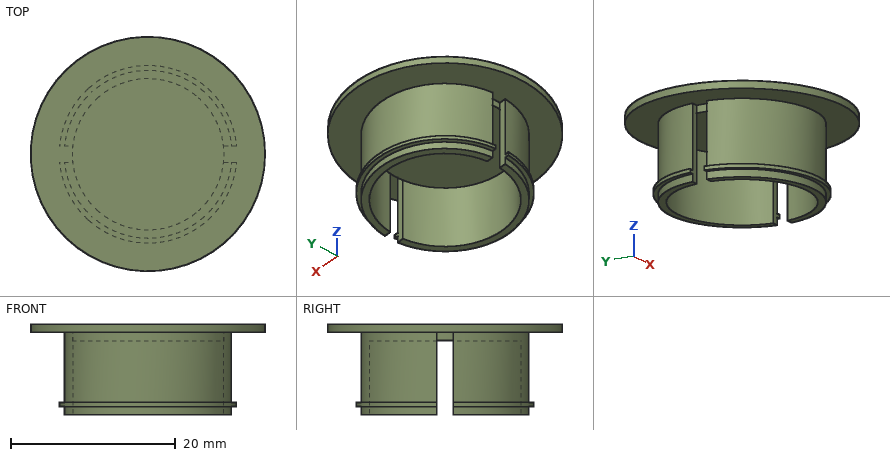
import cadquery as cq

flange_diameter = 28.5
flange_thickness = 1.0
total_height = 11.0

sleeve_diameter = 20.4
wall_thickness = 1.0
floor_thickness = 1.0

ring_projection = 0.6
ring_height = 0.5
ring_offset = 1.0

slot_width = 2.0

sleeve_height = total_height - flange_thickness
bore_diameter = sleeve_diameter - 2 * wall_thickness
bore_depth = sleeve_height - floor_thickness
ring_diameter = sleeve_diameter + 2 * ring_projection


def disc(diameter, height, bottom):
    """Solid disc on the Z axis, standing on the given level."""
    return cq.Workplane("XY").workplane(offset=bottom).circle(diameter / 2).extrude(height)


def wall_slots():
    """Cutter for two opposite slots along X, through the sleeve wall only."""
    bar = (
        cq.Workplane("XY")
        .rect(flange_diameter, slot_width)
        .extrude(sleeve_height)
    )
    return bar.cut(disc(bore_diameter, sleeve_height, 0))


flange = disc(flange_diameter, flange_thickness, sleeve_height)
sleeve = disc(sleeve_diameter, sleeve_height, 0)
snap_ring = disc(ring_diameter, ring_height, ring_offset)
bore = disc(bore_diameter, bore_depth, 0)

result = flange.union(sleeve).union(snap_ring).cut(bore).cut(wall_slots())